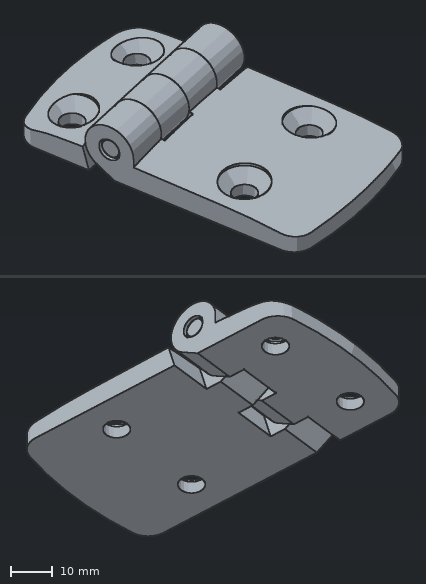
import cadquery as cq
import math


total_length = 86.6
width = 48.0
long_reach = 57.2
short_reach = total_length - long_reach

knuckle_radius = 7.0
axis_height = 8.9
knuckle_count = 4
knuckle_width = width / knuckle_count
underside_angle = 30.0
clearance_foot = 5.9
clearance_lean = 16.0

bore_diameter = 6.0
pin_diameter = 5.9
pin_recess = 0.5
pin_chamfer = 0.5

end_arc_radius = 100.0
corner_radius = 6.0

screw_diameter = 6.6
head_diameter = 13.1
head_seat_height = 6.7
screw_pitch = 28.0
short_screw_offset = 17.5
long_screw_offset = 32.5

crown_radius = 220.0
crown_height = 7.9
short_slope_length = 15.0
short_slope = 0.04
short_end_radius = 40.0
long_slope_length = long_screw_offset
long_slope = 0.014
long_end_radius = 168.9


def leaf_outline(reach):
    """Upright prism with a bowed end and rounded corners, taller than any leaf."""
    half_width = width / 2
    bow = end_arc_radius - math.sqrt(end_arc_radius**2 - half_width**2)
    prism = (
        cq.Workplane("XY")
        .moveTo(clearance_foot, -half_width)
        .lineTo(reach - bow, -half_width)
        .threePointArc((reach, 0), (reach - bow, half_width))
        .lineTo(clearance_foot, half_width)
        .close()
        .extrude(axis_height)
    )
    return prism.edges("|Z").edges(">X").fillet(corner_radius)


def crowned_stock(reach, slope_length, slope, end_radius):
    """Body of revolution about an axis along X: a slight taper that runs smoothly into a curved end."""
    crown_axis_z = crown_height - crown_radius
    slope_angle = math.atan(slope)
    bend_z = crown_height - slope * (slope_length - knuckle_radius)
    arc_x = slope_length - end_radius * math.sin(slope_angle)
    arc_z = bend_z - end_radius * math.cos(slope_angle)

    def on_end_arc(x):
        return (x, arc_z + math.sqrt(end_radius**2 - (x - arc_x) ** 2))

    return (
        cq.Workplane("XZ")
        .moveTo(0, crown_axis_z)
        .lineTo(0, crown_height + slope * knuckle_radius)
        .lineTo(slope_length, bend_z)
        .threePointArc(on_end_arc((slope_length + reach) / 2), on_end_arc(reach))
        .lineTo(reach, crown_axis_z)
        .close()
        .revolve(360, (0, crown_axis_z), (1, crown_axis_z))
    )


def along_knuckle(index, profile):
    """Extrude an XZ profile over one knuckle width; knuckle 0 is at the -Y side."""
    return profile.extrude(-knuckle_width).translate((0, index * knuckle_width - width / 2, 0))


def knuckle(index):
    """Barrel with a root that drops to z = 0, cut off below by a flat tangent to the barrel."""
    slope = math.radians(underside_angle)
    tangent_x = -knuckle_radius * math.sin(slope)
    tangent_z = axis_height - knuckle_radius * math.cos(slope)
    flat_foot_x = tangent_x + tangent_z / math.tan(slope)
    root_points = [
        (0, axis_height),
        (tangent_x, tangent_z),
        (flat_foot_x, 0),
        (knuckle_radius, 0),
        (knuckle_radius, axis_height),
    ]
    barrel = along_knuckle(index, cq.Workplane("XZ").center(0, axis_height).circle(knuckle_radius))
    root = along_knuckle(index, cq.Workplane("XZ").polyline(root_points).close())
    return barrel.union(root)


def clearance(index):
    """Wedge that frees the other leaf's knuckle and leaves a leaning wall."""
    top_x = clearance_foot + axis_height * math.tan(math.radians(clearance_lean))
    wedge_points = [(0, 0), (clearance_foot, 0), (top_x, axis_height), (0, axis_height)]
    return along_knuckle(index, cq.Workplane("XZ").polyline(wedge_points).close())


def screw_cutter(x, y):
    """Through hole, 90 degree countersink and a straight wall above it."""
    screw_radius = screw_diameter / 2
    head_radius = head_diameter / 2
    sink_bottom = head_seat_height - (head_radius - screw_radius)
    return (
        cq.Workplane("XZ")
        .polyline([
            (0, 0),
            (screw_radius, 0),
            (screw_radius, sink_bottom),
            (head_radius, head_seat_height),
            (head_radius, axis_height),
            (0, axis_height),
        ])
        .close()
        .revolve(360, (0, 0), (0, 1))
        .translate((x, y, 0))
    )


def axis_cylinder(diameter, length):
    """Cylinder on the hinge axis, centred on the width."""
    return cq.Workplane("XZ").center(0, axis_height).circle(diameter / 2).extrude(length / 2, both=True)


def leaf(reach, slope_length, slope, end_radius, screw_offset, own_knuckles):
    """One leaf, pointing towards +X, with its knuckles, clearances, bore and screw holes."""
    body = leaf_outline(reach).intersect(crowned_stock(reach, slope_length, slope, end_radius))
    for index in range(knuckle_count):
        if index not in own_knuckles:
            body = body.cut(clearance(index))
    for index in own_knuckles:
        body = body.union(knuckle(index))
    for y in (-screw_pitch / 2, screw_pitch / 2):
        body = body.cut(screw_cutter(screw_offset, y))
    return body.cut(axis_cylinder(bore_diameter, width))


long_leaf = leaf(
    long_reach, long_slope_length, long_slope, long_end_radius, long_screw_offset, own_knuckles=(0, 2)
)

short_leaf = leaf(
    short_reach, short_slope_length, short_slope, short_end_radius, short_screw_offset, own_knuckles=(1, 3)
).mirror("YZ")

pin = axis_cylinder(pin_diameter, width - 2 * pin_recess).faces("<Y or >Y").chamfer(pin_chamfer)

result = cq.Compound.makeCompound([long_leaf.val(), short_leaf.val(), pin.val()])